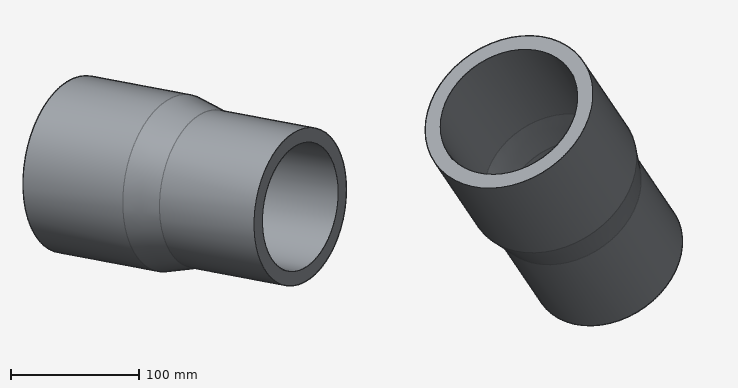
import cadquery as cq

total_length = 215.0
large_end_length = 95.2
small_end_length = 90.0
large_outer_diameter = 140.0
large_inner_diameter = 114.5
small_outer_diameter = 125.0
small_inner_diameter = 102.1

taper_start = -total_length / 2 + large_end_length
taper_end = total_length / 2 - small_end_length


def stepped_body(large_diameter, small_diameter):
    """Solid of revolution: large cylinder, conical taper, small cylinder."""
    large_radius = large_diameter / 2
    small_radius = small_diameter / 2
    return (
        cq.Workplane("XY")
        .moveTo(-total_length / 2, 0)
        .lineTo(-total_length / 2, large_radius)
        .lineTo(taper_start, large_radius)
        .lineTo(taper_end, small_radius)
        .lineTo(total_length / 2, small_radius)
        .lineTo(total_length / 2, 0)
        .close()
        .revolve(360, (0, 0, 0), (1, 0, 0))
    )


outer_body = stepped_body(large_outer_diameter, small_outer_diameter)
bore = stepped_body(large_inner_diameter, small_inner_diameter)

result = outer_body.cut(bore)